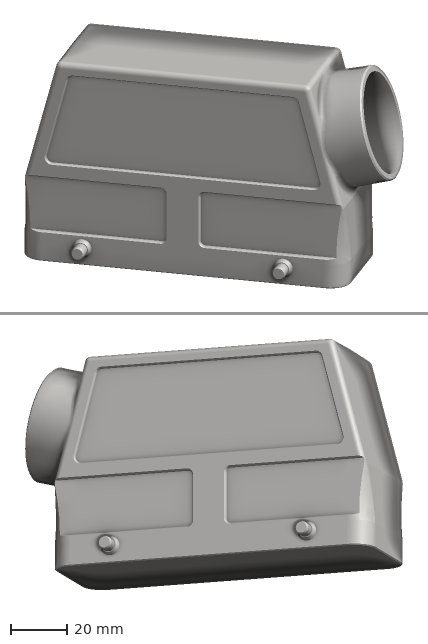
import cadquery as cq
import math

base_length = 120.0
width = 43.0
ridge_height = 76.0
eaves_height = 75.6
foot_height = 9.0
skirt_height = 30.0
skirt_top_length = 117.3
shoulder_height = 31.1
shoulder_length = 116.8
end_tilt = 15.0
foot_corner_radius = 7.7
skirt_top_corner_radius = 2.8
hood_edge_radius = 2.0
bottom_chamfer = 0.4
corner_sections = 4

tilt = math.radians(end_tilt)

neck_rim_diameter = 41.6
neck_bore_diameter = 37.0
neck_draft = 1.0
neck_rim_x = 67.6
neck_rim_z = 56.6
neck_rim_chamfer = 0.5
neck_root_radius = 2.0
neck_root_overlap = 4.0

wall_draft = 28.0
lower_panel_depth = 1.2
lower_panel_bottom = 10.9
lower_panel_top = 32.2
rib_width = 11.7
lower_panel_radius = 2.3
upper_panel_depth = 1.0
upper_panel_bottom = 36.8
upper_panel_top = 71.3
upper_panel_margin = 5.3
upper_panel_radius = 2.7

pin_span = 55.5
pin_spacing = 74.0
pin_height = 6.2
pin_diameter = 4.8
pin_tip_diameter = 4.0
pin_tip_length = 0.9
pin_collar_diameter = 7.0
pin_collar_tip_diameter = 5.3
pin_collar_length = 1.6


def hood_length(z):
    """Length along X of the tapering upper hood at height z."""
    return shoulder_length - 2 * (z - shoulder_height) * math.tan(tilt)


def stacked_loft(sections, ruled):
    """Loft through (length, corner radius, z) sections."""
    wires = []
    for length, corner_radius, z in sections:
        sketch = cq.Sketch().rect(length, width).vertices().fillet(corner_radius)
        face = sketch.moved(cq.Location(cq.Vector(0, 0, z))).faces().vals()[0]
        wires.append(face.outerWire())
    return cq.Workplane(cq.Solid.makeLoft(wires, ruled))


def make_base():
    """Foot and skirt, plus the narrow band that eases the skirt into the tilted hood ends."""
    foot = stacked_loft(
        [(base_length, foot_corner_radius, 0), (base_length, foot_corner_radius, foot_height)], True
    )
    foot = foot.faces("<Z").edges().chamfer(bottom_chamfer)
    sections = []
    for i in range(corner_sections + 1):
        t = i / corner_sections
        length = base_length + t * (skirt_top_length - base_length)
        radius = foot_corner_radius + t**2 * (skirt_top_corner_radius - foot_corner_radius)
        sections.append((length, radius, foot_height + t * (skirt_height - foot_height)))
    skirt = stacked_loft(sections, False)
    band = stacked_loft(
        [
            (skirt_top_length, skirt_top_corner_radius, skirt_height),
            (shoulder_length, hood_edge_radius, shoulder_height),
        ],
        True,
    )
    return foot.union(skirt).union(band)


def make_hood():
    """Upper hood with tilted ends and a shallow gabled roof, all its edges rounded."""
    low = hood_length(shoulder_height) / 2
    high = hood_length(ridge_height) / 2
    side_view = [
        (-low, shoulder_height),
        (low, shoulder_height),
        (high, ridge_height),
        (-high, ridge_height),
    ]
    prism = cq.Workplane("XZ").polyline(side_view).close().extrude(width / 2, both=True)
    gable_points = [
        (-width / 2, 0),
        (width / 2, 0),
        (width / 2, eaves_height),
        (0, ridge_height),
        (-width / 2, eaves_height),
    ]
    gable = cq.Workplane("YZ").polyline(gable_points).close().extrude(base_length / 2, both=True)
    return prism.intersect(gable).edges("not <Z").edges("not >Z").fillet(hood_edge_radius)


neck_length = (neck_rim_x - shoulder_length / 2) * math.cos(tilt) + (
    neck_rim_z - shoulder_height
) * math.sin(tilt)


def neck_profile():
    """Workplane at the rim centre: local x runs out along the neck axis, local y is radial."""
    axis = (math.cos(tilt), 0, math.sin(tilt))
    return cq.Workplane(cq.Plane(origin=(neck_rim_x, 0, neck_rim_z), xDir=axis, normal=(0, -1, 0)))


def revolve_neck(profile):
    return profile.close().revolve(360, (0, 0, 0), (1, 0, 0))


def neck_radius(distance):
    """Outer radius of the drafted neck at a distance behind the rim."""
    return neck_rim_diameter / 2 + distance * math.tan(math.radians(neck_draft))


def add_neck(hood):
    """Join the conical neck to the hood with a rounded root and an eased rim."""
    inner_end = neck_length + neck_root_overlap
    cone = revolve_neck(
        neck_profile()
        .moveTo(-inner_end, 0)
        .lineTo(-inner_end, neck_radius(inner_end))
        .lineTo(0, neck_radius(0))
        .lineTo(0, 0)
    )
    joined = hood.union(cone)
    joined = joined.faces("%CONE").edges("not %LINE").edges("not >X").fillet(neck_root_radius)
    return joined.faces("%CONE").edges("not %LINE").edges(">X").chamfer(neck_rim_chamfer)


def make_bore():
    return revolve_neck(
        neck_profile()
        .lineTo(-neck_length, 0)
        .lineTo(-neck_length, neck_bore_diameter / 2)
        .lineTo(0, neck_bore_diameter / 2)
    )


def panel_cutter(points, corner_radius, depth):
    """Recess with sloping walls, sunk into the -Y side; points are (x, z)."""
    outline = cq.Sketch().polygon(points + points[:1]).vertices().fillet(corner_radius)
    plane = cq.Workplane("XZ", origin=(0, -width / 2, 0))
    return plane.placeSketch(outline).extrude(-depth, taper=wall_draft)


def cut_panels(body):
    low = hood_length(upper_panel_bottom) / 2 - upper_panel_margin
    high = hood_length(upper_panel_top) / 2 - upper_panel_margin
    upper = panel_cutter(
        [
            (-low, upper_panel_bottom),
            (low, upper_panel_bottom),
            (high, upper_panel_top),
            (-high, upper_panel_top),
        ],
        upper_panel_radius,
        upper_panel_depth,
    )
    inner = rib_width / 2
    outer = base_length
    lower = panel_cutter(
        [
            (inner, lower_panel_bottom),
            (outer, lower_panel_bottom),
            (outer, lower_panel_top),
            (inner, lower_panel_top),
        ],
        lower_panel_radius,
        lower_panel_depth,
    )
    for cutter in (upper, lower, lower.mirror("YZ")):
        body = body.cut(cutter).cut(cutter.mirror("XZ"))
    return body


def make_pin(x):
    """Pin right through the body, with a conical collar on each side and tapered tips."""
    side = width / 2
    end = pin_span / 2
    half_pin = (
        cq.Workplane("XY")
        .polyline(
            [
                (0, 0),
                (pin_collar_diameter / 2, 0),
                (pin_collar_diameter / 2, side),
                (pin_collar_tip_diameter / 2, side + pin_collar_length),
                (pin_diameter / 2, side + pin_collar_length),
                (pin_diameter / 2, end - pin_tip_length),
                (pin_tip_diameter / 2, end),
                (0, end),
            ]
        )
        .close()
        .revolve(360, (0, 0, 0), (0, 1, 0))
    )
    return half_pin.union(half_pin.mirror("XZ")).translate((x, 0, pin_height))


result = make_base().union(add_neck(make_hood()))
result = cut_panels(result).cut(make_bore())
for pin_x in (-pin_spacing / 2, pin_spacing / 2):
    result = result.union(make_pin(pin_x))